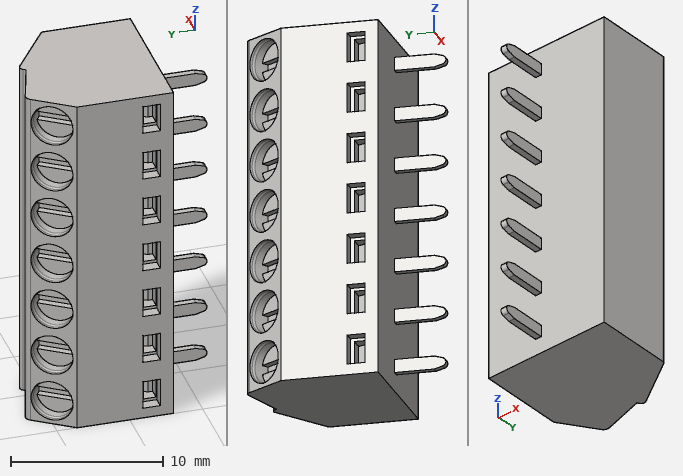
import cadquery as cq
import math

body_width = 10.0
body_length = 24.5
screw_edge_y = 6.62
peak_x = 2.03
peak_y = 9.58
notch_x = 5.59
notch_y = 8.48
latch_edge_y = 6.1
latch_angle = 34.5
peak_round = 0.5
ridge_round = 0.35
side_round = 0.25

pole_count = 7
pitch = body_length / pole_count
first_pole_z = pitch / 2

pin_center_x = 4.3
pin_thickness = 0.5
pin_width = 0.9
pin_length = 3.5
pin_taper_length = 0.56
pin_tip_width = 0.6
pin_tip_bulge = 0.22
pin_embed = 0.5

screw_offset = 1.75
screw_radius = 1.4
screw_lead_radius = 1.45
screw_lead_depth = 0.2
screw_cone_depth = 0.2
screw_depth = 1.0
slot_width = 0.64
slot_depth = 0.5

entry_y_min = 0.9
entry_y_size = 1.2
entry_z_size = 2.0
entry_depth = 0.8
throat_y_min = 0.95
throat_y_size = 0.88
throat_z_size = 1.6
throat_depth = 1.6
throat_ledge = 0.32
throat_slope_drop = 0.27


def corner_edges(solid, x, y):
    """Select the Z-parallel edge through (x, y)."""
    reach = 0.02
    low = (x - reach, y - reach, -0.25)
    high = (x + reach, y + reach, body_length + 0.25)
    return solid.edges("|Z").edges(cq.selectors.BoxSelector(low, high))


def make_housing():
    slope = math.tan(math.radians(latch_angle))
    wall_height = latch_edge_y + (body_width - notch_x) * slope - notch_y
    ridge_x = notch_x + wall_height / (slope + 1 / slope)
    ridge_y = latch_edge_y + (body_width - ridge_x) * slope
    outline = [
        (0, 0),
        (body_width, 0),
        (body_width, latch_edge_y),
        (ridge_x, ridge_y),
        (notch_x, notch_y),
        (peak_x, peak_y),
        (0, screw_edge_y),
    ]
    housing = cq.Workplane("XY").polyline(outline).close().extrude(body_length)
    housing = corner_edges(housing, peak_x, peak_y).fillet(peak_round)
    housing = corner_edges(housing, ridge_x, ridge_y).fillet(ridge_round)
    return corner_edges(housing, body_width, latch_edge_y).fillet(side_round)


def make_pin(z):
    half = pin_width / 2
    tip_half = pin_tip_width / 2
    arc_y = -pin_length + pin_tip_bulge
    taper_y = arc_y + pin_taper_length
    return (
        cq.Workplane("YZ", origin=(pin_center_x, 0, z))
        .moveTo(pin_embed, half)
        .lineTo(taper_y, half)
        .lineTo(arc_y, tip_half)
        .threePointArc((-pin_length, 0), (arc_y, -tip_half))
        .lineTo(taper_y, -half)
        .lineTo(pin_embed, -half)
        .close()
        .extrude(pin_thickness / 2, both=True)
    )


def make_screw_recess(z):
    rise = peak_y - screw_edge_y
    face_length = math.hypot(peak_x, rise)
    along_x = peak_x / face_length
    along_y = rise / face_length
    face = cq.Plane(
        origin=(along_x * screw_offset, screw_edge_y + along_y * screw_offset, z),
        xDir=(along_x, along_y, 0),
        normal=(-along_y, along_x, 0),
    )
    lead = cq.Workplane(face).circle(screw_lead_radius).extrude(-screw_lead_depth)
    cone = (
        cq.Workplane(face)
        .workplane(offset=-screw_lead_depth)
        .circle(screw_lead_radius)
        .workplane(offset=-screw_cone_depth)
        .circle(screw_radius)
        .loft()
    )
    bore = cq.Workplane(face).circle(screw_radius).extrude(-screw_depth)
    slot_bottom = screw_depth + slot_depth
    slot = (
        cq.Workplane(face)
        .rect(2 * screw_radius, slot_width)
        .extrude(-slot_bottom)
        .intersect(cq.Workplane(face).circle(screw_radius).extrude(-slot_bottom))
    )
    return lead.union(cone).union(bore).union(slot)


def make_wire_entry(z):
    mouth = cq.Workplane("XY").box(
        entry_depth, entry_y_size, entry_z_size, centered=(False, False, True)
    )
    throat_y_max = throat_y_min + throat_y_size
    throat = (
        cq.Workplane("XY", origin=(0, 0, -throat_z_size / 2))
        .polyline([
            (0, throat_y_min),
            (throat_depth, throat_y_min),
            (throat_depth, throat_y_min + throat_ledge),
            (throat_depth + throat_slope_drop, throat_y_max),
            (0, throat_y_max),
        ])
        .close()
        .extrude(throat_z_size)
    )
    return mouth.translate((0, entry_y_min, 0)).union(throat).translate((0, 0, z))


result = make_housing()
for pole in range(pole_count):
    pole_z = first_pole_z + pole * pitch
    result = result.cut(make_screw_recess(pole_z))
    result = result.cut(make_wire_entry(pole_z))
    result = result.union(make_pin(pole_z))